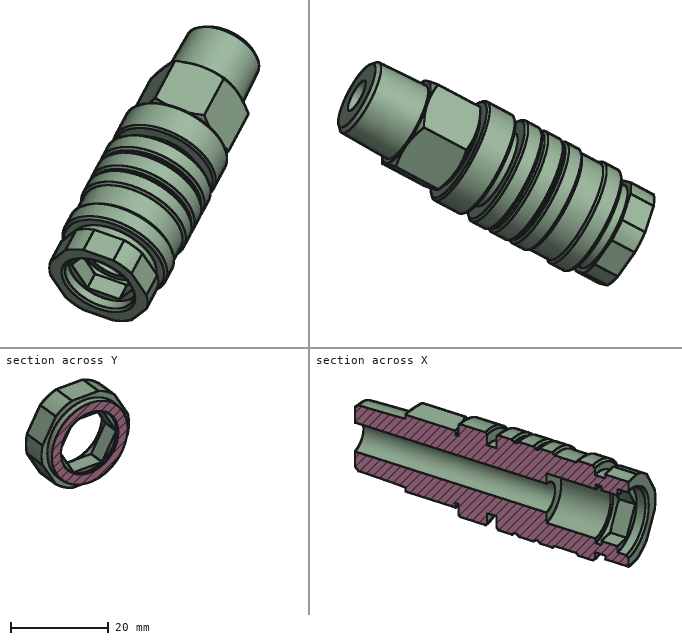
import cadquery as cq
import math

length = 65.0

sleeve_start = 8.0
sleeve_end = 31.4
sleeve_diameter = 22.5
rib_diameter = 23.5
rib_bevel = (rib_diameter - sleeve_diameter) / 2
ribs = [(sleeve_start, 12.5), (17.55, 21.6), (22.05, 26.6), (27.2, sleeve_end)]

collar_start = 33.55
collar_end = 40.4
collar_diameter = 23.0
collar_bevel = 0.45

front_neck_diameter = 19.2
rear_neck_diameter = 16.9

nut_start = 41.1
nut_end = 53.05
nut_flats = 19.05
nut_cone_angle = 30.0

thread_tip_diameter = 16.4
thread_tip_bevel = 0.85
thread_taper = 1 / 16

cap_length = 5.6
cap_diameter = 22.05
cap_flats = 21.0

mouth_diameter = 15.5
mouth_bevel = 0.5
mouth_depth = 2.6
socket_flats = 12.4
socket_end = 6.5
relief_diameter = 14.3
relief_end = 7.8
chamber_diameter = 12.1
chamber_end = 19.5
bore_diameter = 7.0


def cylinder(diameter, start, end):
    """Cylinder along Y between two stations."""
    return cq.Workplane("XZ", origin=(0, start, 0)).circle(diameter / 2).extrude(start - end)


def across_corners(flats):
    """Corner-to-corner size of a regular hexagon from its size across flats."""
    return flats / math.cos(math.pi / 6)


def hexagon(flats, start, end):
    """Hexagonal prism along Y, with corners on the X axis."""
    profile = cq.Workplane("XZ", origin=(0, start, 0)).polygon(6, across_corners(flats))
    return profile.extrude(start - end)


def bevelled_ring(diameter, bevel, start, end):
    """Cylinder along Y with both rims bevelled."""
    return cylinder(diameter, start, end).edges().chamfer(bevel)


def turned(points):
    """Solid of revolution about Y from (radius, station) points."""
    return cq.Workplane("XY").polyline(points).close().revolve(360, (0, 0, 0), (0, 1, 0))


def make_nut():
    corner_radius = across_corners(nut_flats) / 2
    flat_radius = nut_flats / 2
    cone_length = (corner_radius - flat_radius) * math.tan(math.radians(nut_cone_angle))
    envelope = turned([
        (0, nut_start),
        (flat_radius, nut_start),
        (corner_radius, nut_start + cone_length),
        (corner_radius, nut_end - cone_length),
        (flat_radius, nut_end),
        (0, nut_end),
    ])
    return hexagon(nut_flats, nut_start, nut_end).intersect(envelope)


def make_thread():
    bevel_start = length - thread_tip_bevel
    tip_radius = thread_tip_diameter / 2
    root_radius = tip_radius + (bevel_start - nut_end) * thread_taper / 2
    return turned([
        (0, nut_end),
        (root_radius, nut_end),
        (tip_radius, bevel_start),
        (tip_radius - thread_tip_bevel, length),
        (0, length),
    ])


def make_sleeve():
    sleeve = cylinder(sleeve_diameter, sleeve_start, sleeve_end)
    for start, end in ribs:
        sleeve = sleeve.union(bevelled_ring(rib_diameter, rib_bevel, start, end))
    return sleeve


def make_cap():
    return cylinder(cap_diameter, 0, cap_length).intersect(hexagon(cap_flats, 0, cap_length))


def make_cavity():
    mouth_radius = mouth_diameter / 2
    mouth = turned([
        (0, 0),
        (mouth_radius + mouth_bevel, 0),
        (mouth_radius, mouth_bevel),
        (mouth_radius, mouth_depth),
        (0, mouth_depth),
    ])
    socket = hexagon(socket_flats, mouth_depth, socket_end)
    relief = cylinder(relief_diameter, socket_end, relief_end)
    chamber = cylinder(chamber_diameter, relief_end, chamber_end)
    bore = cylinder(bore_diameter, chamber_end, length)
    return mouth.union(socket).union(relief).union(chamber).union(bore)


body = (
    make_cap()
    .union(cylinder(front_neck_diameter, cap_length, sleeve_start))
    .union(make_sleeve())
    .union(cylinder(rear_neck_diameter, sleeve_end, nut_start))
    .union(bevelled_ring(collar_diameter, collar_bevel, collar_start, collar_end))
    .union(make_nut())
    .union(make_thread())
)
result = body.cut(make_cavity())